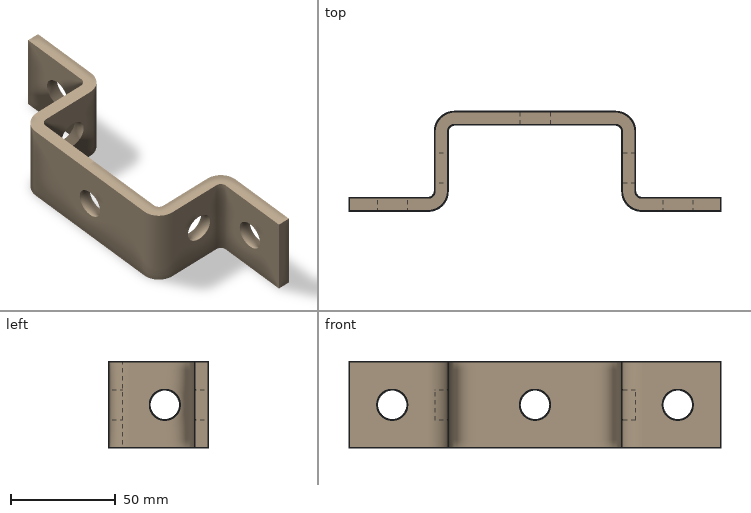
import cadquery as cq

length = 177.8
depth = 47.7
height = 41.2

thickness = 6.4
inner_radius = 3.2
outer_radius = inner_radius + thickness
hat_width = 96.0

hole_diameter = 14.4
flange_hole_offset = 68.3
side_hole_from_front = 20.8

half_length = length / 2
hat_outer = hat_width / 2
hat_inner = hat_outer - thickness
front = -depth / 2
back = depth / 2


def make_strip():
    """Extrude the sharp-cornered hat profile, then round its bends."""
    right_half = [
        (hat_outer, back),
        (hat_outer, front + thickness),
        (half_length, front + thickness),
        (half_length, front),
        (hat_inner, front),
        (hat_inner, back - thickness),
    ]
    left_half = [(-x, y) for x, y in reversed(right_half)]
    strip = (
        cq.Workplane("XY")
        .polyline(right_half + left_half)
        .close()
        .extrude(height / 2, both=True)
    )

    outside_bends = [(hat_outer, back), (hat_inner, front)]
    inside_bends = [(hat_inner, back - thickness), (hat_outer, front + thickness)]
    strip = round_bends(strip, outside_bends, outer_radius)
    return round_bends(strip, inside_bends, inner_radius)


def round_bends(body, corners, radius):
    """Fillet the vertical edges at the given corners and their mirror images."""
    for x, y in corners:
        for side in (-1, 1):
            edge = cq.selectors.NearestToPointSelector((side * x, y, 0))
            body = body.edges(edge).fillet(radius)
    return body


def make_holes():
    """Holes through both flanges, the back web and the two side walls."""
    hole_radius = hole_diameter / 2
    face_holes = (
        cq.Workplane("XZ")
        .pushPoints([(-flange_hole_offset, 0), (0, 0), (flange_hole_offset, 0)])
        .circle(hole_radius)
        .extrude(depth, both=True)
    )
    side_holes = (
        cq.Workplane("YZ")
        .center(front + side_hole_from_front, 0)
        .circle(hole_radius)
        .extrude(hat_outer, both=True)
    )
    return face_holes.union(side_holes)


result = make_strip().cut(make_holes())